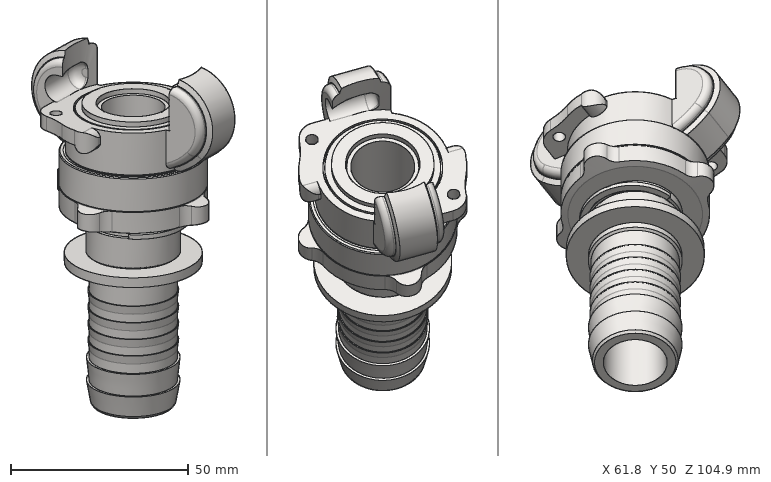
import cadquery as cq
import math


BORE_D = 18.0
TAIL_D = 26.8
TAIL_TOP = 89.0
SPIGOT_D = 20.4
SPIGOT_TOP = 90.15
BARREL_D = 25.0
NECK_D = 25.7
NECK_TOP = 46.5
SHOULDER_D = 26.5
SHOULDER_BOTTOM = 41.2
SHOULDER_CHAMFER = 0.5
RIDGE_D = 25.7
RIDGE_COUNT = 4
RIDGE_TOP = 34.65
RIDGE_PITCH = 5.05
RIDGE_TAPER = RIDGE_PITCH / 2
BARB_D = 26.5
UPPER_BARB_TOP = 14.1
LOWER_BARB_TOP = 7.2
TIP_SHOULDER_D = 24.2
TIP_SHOULDER_Z = 0.8
TIP_D = 23.0

WASHER_D = 39.0
WASHER_BOTTOM = 43.1
WASHER_TOP = 46.05

GROOVE_D = 24.5
GROOVE_BOTTOM = 55.6
GROOVE_TOP = 57.1
RING_OUTER_D = 30.0
RING_INNER_D = 26.0
RING_BOTTOM = 55.75
RING_CENTRE = (0.4, 0.9)
RING_GAP_START = 166.0
RING_GAP_END = 296.0

NUT_BOTTOM = 59.9
NUT_TOP = 66.55
NUT_D = 42.0
NUT_FLAT_D = 38.0
LUG_COUNT = 4
LUG_R = 4.0
LUG_FILLET = 4.0
LUG_REACH = NUT_D / 2 + LUG_R
LUG_TIP_BOTTOM = 60.85
LUG_TIP_TOP = 66.0

COLLAR_D = 42.0
COLLAR_TOP = 77.0
COLLAR_CHAMFER = 0.3

HEAD_D = 38.4
HEAD_FOOT_D = 39.6
HEAD_FOOT_H = 0.25
HEAD_TOP = 90.0
SEAT_D = 33.8
SEAT_FLOOR = TAIL_TOP

SEAL_TOP = 91.5
SEAL_LIP_D = 29.0
SEAL_FLANGE_D = 32.8
SEAL_BORE_D = 21.0

CLAW_X = 17.42
CLAW_Z = SEAL_TOP
CLAW_R = 13.5
CLAW_LOWER_R = 26.0
CLAW_BLEND_ANGLE = -43.5
CLAW_END_ANGLE = -72.0
CLEARING_D = 80.0
CLAW_ROOT_X = 13.5
CLAW_WIDTH = 17.5
BAND_WIDTH = 12.4
BAND_EDGE = 0.6
BAND_EDGE_DROP = 1.7
RIM_INSET = 1.9
RIM_FILLET = 2.0
CLAW_FACE_R = 20.2
POCKET_R = 4.1
POCKET_X = 20.1
POCKET_Z = HEAD_TOP + POCKET_R
POCKET_WALL_Y = -5.7
POCKET_FILLET = 2.8

FLANGE_BOTTOM = 85.5
FLANGE_SIDE_X = 21.17
FLANGE_CORNER_R = 5.5
FLANGE_CORNER_Y = 13.7
FLANGE_HOLE_D = 3.5
FLANGE_HOLE_XY = 15.7
STOP_X = 1.2
STOP_R = 3.2
STOP_END = (-1.8, 19.8)
STOP_END_MIDDLE = (-0.55, 22.5)
CREST_START = (4.1, 23.4)
CREST_MIDDLE = (6.9, 22.75)
HOLLOW_START = (9.75, 21.5)
HOLLOW_MIDDLE = (13.0, 20.1)
FLANGE_CORNER_START = 80.0
FLANGE_ROOT_DEPTH = 1.5


def cylinder(diameter, bottom, top):
    return cq.Workplane("XY", origin=(0, 0, bottom)).circle(diameter / 2).extrude(top - bottom)


def tube(outer_d, inner_d, bottom, top):
    return cylinder(outer_d, bottom, top).cut(cylinder(inner_d, bottom, top))


def turned(points):
    return cq.Workplane("XZ").polyline(points).close().revolve(360, (0, 0, 0), (0, 1, 0))


def half_turn(body):
    return body.rotate((0, 0, 0), (0, 0, 1), 180)


def polar(centre, radius, degrees):
    angle = math.radians(degrees)
    return (centre[0] + radius * math.cos(angle), centre[1] + radius * math.sin(angle))


def make_hose_tail():
    bore_r = BORE_D / 2
    barrel_r = BARREL_D / 2
    profile = [
        (bore_r, 0),
        (TIP_D / 2, 0),
        (TIP_SHOULDER_D / 2, TIP_SHOULDER_Z),
        (BARB_D / 2, LOWER_BARB_TOP),
        (barrel_r, LOWER_BARB_TOP),
        (BARB_D / 2, UPPER_BARB_TOP),
        (barrel_r, UPPER_BARB_TOP),
    ]
    for index in reversed(range(RIDGE_COUNT)):
        ridge_top = RIDGE_TOP - index * RIDGE_PITCH
        profile += [
            (barrel_r, ridge_top - RIDGE_TAPER),
            (RIDGE_D / 2, ridge_top),
            (barrel_r, ridge_top),
        ]
    profile += [
        (barrel_r, SHOULDER_BOTTOM - SHOULDER_CHAMFER),
        (SHOULDER_D / 2, SHOULDER_BOTTOM),
        (SHOULDER_D / 2, WASHER_BOTTOM),
        (NECK_D / 2, WASHER_BOTTOM),
        (NECK_D / 2, NECK_TOP),
        (TAIL_D / 2, NECK_TOP),
        (TAIL_D / 2, GROOVE_BOTTOM),
        (GROOVE_D / 2, GROOVE_BOTTOM),
        (GROOVE_D / 2, GROOVE_TOP),
        (TAIL_D / 2, GROOVE_TOP),
        (TAIL_D / 2, TAIL_TOP),
        (SPIGOT_D / 2, TAIL_TOP),
        (SPIGOT_D / 2, SPIGOT_TOP),
        (bore_r, SPIGOT_TOP),
    ]
    return turned(profile)


def make_snap_ring():
    outer_r = RING_OUTER_D / 2
    inner_r = RING_INNER_D / 2
    middle = (RING_GAP_END - 360 + RING_GAP_START) / 2
    return (
        cq.Workplane("XY", origin=(0, 0, RING_BOTTOM))
        .moveTo(*polar(RING_CENTRE, inner_r, RING_GAP_END))
        .lineTo(*polar(RING_CENTRE, outer_r, RING_GAP_END))
        .threePointArc(
            polar(RING_CENTRE, outer_r, middle),
            polar(RING_CENTRE, outer_r, RING_GAP_START),
        )
        .lineTo(*polar(RING_CENTRE, inner_r, RING_GAP_START))
        .threePointArc(
            polar(RING_CENTRE, inner_r, middle),
            polar(RING_CENTRE, inner_r, RING_GAP_END),
        )
        .close()
        .extrude(GROOVE_TOP - RING_BOTTOM)
    )


def make_lug_nut():
    height = NUT_TOP - NUT_BOTTOM
    lugs = (
        cq.Workplane("XY", origin=(0, 0, NUT_BOTTOM))
        .polarArray(NUT_D / 2, 0, 360, LUG_COUNT)
        .circle(LUG_R)
        .extrude(height)
    )
    nut = cylinder(NUT_D, NUT_BOTTOM, NUT_TOP).union(lugs)
    corners = [
        edge for edge in nut.edges("|Z").vals()
        if min(abs(edge.Center().x), abs(edge.Center().y)) > LUG_R / 2
    ]
    nut = nut.newObject(corners).fillet(LUG_FILLET)
    envelope = turned([
        (0, NUT_BOTTOM),
        (NUT_FLAT_D / 2, NUT_BOTTOM),
        (LUG_REACH, LUG_TIP_BOTTOM),
        (LUG_REACH, LUG_TIP_TOP),
        (NUT_D / 2, NUT_TOP),
        (0, NUT_TOP),
    ])
    return nut.intersect(envelope).cut(cylinder(TAIL_D, NUT_BOTTOM, NUT_TOP))


def make_collar():
    collar = cylinder(COLLAR_D, NUT_TOP, COLLAR_TOP).edges().chamfer(COLLAR_CHAMFER)
    return collar.cut(cylinder(HEAD_D, NUT_TOP, COLLAR_TOP))


def make_seal():
    return turned([
        (SEAL_BORE_D / 2, SEAT_FLOOR),
        (SEAL_FLANGE_D / 2, SEAT_FLOOR),
        (SEAL_FLANGE_D / 2, HEAD_TOP),
        (SEAL_LIP_D / 2, HEAD_TOP),
        (SEAL_LIP_D / 2, SEAL_TOP),
        (SEAL_BORE_D / 2, SEAL_TOP),
    ])


def claw_plate(inset, width):
    """Plate across Y with the claw's side outline, moved inwards by the inset."""
    upper_centre = (CLAW_X, CLAW_Z)
    lower_centre = polar(upper_centre, CLAW_R - CLAW_LOWER_R, CLAW_BLEND_ANGLE)
    upper_r = CLAW_R - inset
    lower_r = CLAW_LOWER_R - inset
    top = polar(upper_centre, upper_r, 90)
    blend = polar(upper_centre, upper_r, CLAW_BLEND_ANGLE)
    end = polar(lower_centre, lower_r, CLAW_END_ANGLE)
    return (
        cq.Workplane("XZ")
        .moveTo(CLAW_ROOT_X, top[1])
        .lineTo(*top)
        .threePointArc(polar(upper_centre, upper_r, (90 + CLAW_BLEND_ANGLE) / 2), blend)
        .threePointArc(
            polar(lower_centre, lower_r, (CLAW_BLEND_ANGLE + CLAW_END_ANGLE) / 2), end
        )
        .lineTo(CLAW_ROOT_X, end[1])
        .close()
        .extrude(width / 2, both=True)
    )


def curved_side_edges(plate):
    return plate.faces("<Y or >Y").edges("%CIRCLE")


def make_claw_pocket():
    length = CLAW_WIDTH / 2 - POCKET_WALL_Y
    start = cq.Workplane("XZ", origin=(0, CLAW_WIDTH / 2, 0))
    round_end = start.center(POCKET_X, POCKET_Z).circle(POCKET_R).extrude(length)
    mouth = (
        start.center(POCKET_X / 2, POCKET_Z)
        .rect(POCKET_X, 2 * POCKET_R)
        .extrude(length)
    )
    return round_end.union(mouth).faces("<Y").edges().fillet(POCKET_FILLET)


def make_claw():
    rims = claw_plate(RIM_INSET, CLAW_WIDTH)
    rims = curved_side_edges(rims).fillet(RIM_FILLET)
    band = claw_plate(0, BAND_WIDTH)
    band = curved_side_edges(band).chamfer(BAND_EDGE, BAND_EDGE_DROP)
    claw = rims.union(band)
    claw = claw.cut(cylinder(2 * CLAW_FACE_R, HEAD_TOP, CLAW_Z + CLAW_R))
    claw = claw.cut(cylinder(CLEARING_D, 0, COLLAR_TOP))
    return claw.cut(make_claw_pocket())


def make_locking_flange():
    stop_bottom = HEAD_TOP - 2 * STOP_R
    buried_y = HEAD_D / 2 - FLANGE_ROOT_DEPTH
    corner_centre = (FLANGE_SIDE_X - FLANGE_CORNER_R, FLANGE_CORNER_Y)
    corner_start = polar(corner_centre, FLANGE_CORNER_R, FLANGE_CORNER_START)
    outline = (
        cq.Workplane("XY", origin=(0, 0, stop_bottom))
        .moveTo(STOP_END[0], buried_y)
        .lineTo(*STOP_END)
        .threePointArc(STOP_END_MIDDLE, CREST_START)
        .threePointArc(CREST_MIDDLE, HOLLOW_START)
        .threePointArc(HOLLOW_MIDDLE, corner_start)
        .threePointArc(
            polar(corner_centre, FLANGE_CORNER_R, FLANGE_CORNER_START / 2),
            (FLANGE_SIDE_X, FLANGE_CORNER_Y),
        )
        .lineTo(FLANGE_SIDE_X, CLAW_WIDTH / 2)
        .lineTo(CLAW_ROOT_X, CLAW_WIDTH / 2)
        .close()
        .extrude(2 * STOP_R)
    )
    plate_part = (
        cq.Workplane("XY", origin=(0, 0, FLANGE_BOTTOM))
        .rect(FLANGE_SIDE_X - STOP_X, LUG_REACH, centered=False)
        .extrude(HEAD_TOP - FLANGE_BOTTOM)
        .translate((STOP_X, 0, 0))
    )
    stop_part = (
        cq.Workplane("XZ")
        .center(STOP_X, HEAD_TOP - STOP_R)
        .circle(STOP_R)
        .extrude(-LUG_REACH)
    )
    hole = cylinder(FLANGE_HOLE_D, FLANGE_BOTTOM, HEAD_TOP)
    hole = hole.translate((FLANGE_HOLE_XY, FLANGE_HOLE_XY, 0))
    return outline.intersect(plate_part.union(stop_part)).cut(hole)


def make_head():
    head = turned([
        (0, NUT_TOP),
        (HEAD_D / 2, NUT_TOP),
        (HEAD_D / 2, COLLAR_TOP),
        (HEAD_FOOT_D / 2, COLLAR_TOP),
        (HEAD_D / 2, COLLAR_TOP + HEAD_FOOT_H),
        (HEAD_D / 2, HEAD_TOP),
        (0, HEAD_TOP),
    ])
    claw = make_claw()
    flange = make_locking_flange()
    for feature in (claw, flange):
        head = head.union(feature).union(half_turn(feature))
    head = head.cut(cylinder(TAIL_D, NUT_TOP, HEAD_TOP))
    return head.cut(cylinder(SEAT_D, SEAT_FLOOR, HEAD_TOP))


hose_tail = make_hose_tail()
washer = tube(WASHER_D, NECK_D, WASHER_BOTTOM, WASHER_TOP)
snap_ring = make_snap_ring()
lug_nut = make_lug_nut()
collar = make_collar()
head = make_head()
seal = make_seal()

result = cq.Compound.makeCompound([
    hose_tail.val(),
    washer.val(),
    snap_ring.val(),
    lug_nut.val(),
    collar.val(),
    head.val(),
    seal.val(),
])